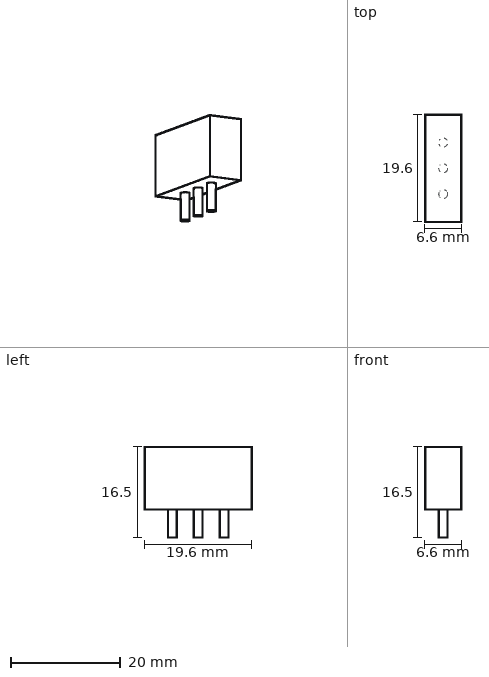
import cadquery as cq

housing_width = 6.6
housing_length = 19.56
total_height = 16.53

pin_count = 3
pin_diameter = 1.65
pin_length = 5.1
pin_pitch = 4.7

housing_height = total_height - pin_length


def make_housing():
    """Plain rectangular block standing on the XY plane."""
    return cq.Workplane("XY").box(
        housing_width, housing_length, housing_height, centered=(True, True, False)
    )


def make_pin(y):
    """Round pin hanging from the underside of the housing at the given Y."""
    return cq.Workplane("XY").center(0, y).circle(pin_diameter / 2).extrude(-pin_length)


housing = make_housing()

first_pin_y = -pin_pitch * (pin_count - 1) / 2
pins = [make_pin(first_pin_y + index * pin_pitch) for index in range(pin_count)]

result = cq.Compound.makeCompound([housing.val(), *[pin.val() for pin in pins]])